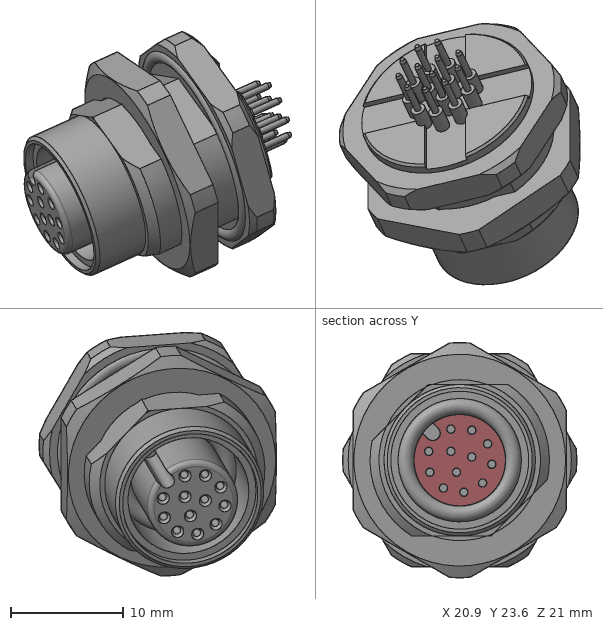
import cadquery as cq
import math


SLEEVE_FRONT = 1.5
BORE_STEP = 2.3
BODY_FRONT = 6.5
NUT_FRONT = 9.49
NUT_BACK = 12.35
FLANGE_FRONT = 15.32
FLANGE_BACK = 18.03
NOTCH_FLOOR = 18.53
BODY_BACK = 19.02
BARREL_BACK = 20.53
PIN_END = 23.6

BODY_DIA = 16.0
BODY_FRONT_CHAMFER = 0.8
BODY_BACK_CHAMFER = 0.21
BODY_FLAT_ANGLES = (90, 135, 270, 315)
NOTCH_WIDTH = 3.82

SLEEVE_DIA = 13.5
SLEEVE_CHAMFER = 0.28
MOUTH_DIA = 12.3
BORE_DIA = 11.0

INSERT_DIA = 8.2
INSERT_FILLET = 0.5
KEYWAY_WIDTH = 1.3
KEYWAY_CENTRE_RADIUS = 3.4
KEYWAY_ANGLE = 135

SEAL_RADIUS = (BORE_DIA - INSERT_DIA) / 4
SEAL_CENTRE_RADIUS = (BORE_DIA + INSERT_DIA) / 4
BORE_FLOOR = BODY_FRONT + 2 * SEAL_RADIUS

HEX_ACROSS_FLATS = 19.02
NUT_CORNER_DIA = 20.98
NUT_FACE_DIA = 18.88
NUT_CHAMFER_LENGTH = 0.52
NUT_BORE_DIA = 14.35
FLANGE_CORNER_DIA = 20.89
FLANGE_CHAMFER = 0.5

ORING_RADIUS = 0.65
ORING_PROTRUSION = 0.3
ORING_CENTRE_RADIUS = BODY_DIA / 2 + ORING_RADIUS
ORING_CENTRE_Y = FLANGE_FRONT - ORING_PROTRUSION + ORING_RADIUS

OUTER_CONTACTS = 9
OUTER_CONTACT_RADIUS = 2.88
OUTER_CONTACT_PITCH = 37.7
INNER_CONTACTS = 3
INNER_CONTACT_RADIUS = 1.1
SOCKET_DIA = 0.7
SOCKET_MOUTH_DIA = 1.1
SOCKET_MOUTH_DEPTH = 0.35
SOCKET_DEPTH = 2.0
BARREL_DIA = 1.3
PIN_DIA = 0.6
PIN_TIP_DIA = 0.38
PIN_TIP_LENGTH = 0.3


def revolved(profile):
    """Revolve a closed (radius, y) outline around the Y axis."""
    return cq.Workplane("XY").polyline(profile).close().revolve(360, (0, 0, 0), (0, 1, 0))


def cylinder(diameter, start, end):
    """Cylinder on the Y axis between two y positions."""
    return revolved([(0, start), (diameter / 2, start), (diameter / 2, end), (0, end)])


def torus(centre_radius, ring_radius, y):
    """Ring of round section around the Y axis."""
    return (
        cq.Workplane("XY")
        .center(centre_radius, y)
        .circle(ring_radius)
        .revolve(360, (-centre_radius, 0, 0), (-centre_radius, 1, 0))
    )


def hexagon(start, end, corner_angle):
    """Hexagonal prism along Y with one corner at the given angle from +X towards +Z."""
    corner_radius = HEX_ACROSS_FLATS / 2 / math.cos(math.radians(30))
    corners = []
    for index in range(6):
        corners.append(polar(corner_radius, corner_angle + 60 * index))
    return cq.Workplane("XZ", origin=(0, start, 0)).polyline(corners).close().extrude(start - end)


def polar(radius, angle):
    """(x, z) of a point at an angle measured from +X towards +Z."""
    return radius * math.cos(math.radians(angle)), radius * math.sin(math.radians(angle))


def turned_about_axis(shape, angle):
    """Turn a shape about the Y axis from +X towards +Z."""
    return shape.rotate((0, 0, 0), (0, 1, 0), -angle)


def make_body():
    radius = BODY_DIA / 2
    body = revolved([
        (0, BODY_FRONT),
        (radius - BODY_FRONT_CHAMFER, BODY_FRONT),
        (radius, BODY_FRONT + BODY_FRONT_CHAMFER),
        (radius, BODY_BACK - BODY_BACK_CHAMFER),
        (radius - BODY_BACK_CHAMFER, BODY_BACK),
        (0, BODY_BACK),
    ])
    for angle in BODY_FLAT_ANGLES:
        flat = cq.Workplane("XY").box(
            BODY_DIA, FLANGE_FRONT - BODY_FRONT, BODY_DIA, centered=(False, False, True)
        ).translate((SLEEVE_DIA / 2, BODY_FRONT, 0))
        body = body.cut(turned_about_axis(flat, angle))
    for angle in (0, 90):
        slot = cq.Workplane("XY").box(
            BODY_DIA, BODY_BACK - NOTCH_FLOOR, NOTCH_WIDTH, centered=(True, False, True)
        ).translate((0, NOTCH_FLOOR, 0))
        body = body.cut(turned_about_axis(slot, angle))
    return body


def make_sleeve():
    radius = SLEEVE_DIA / 2
    return revolved([
        (0, SLEEVE_FRONT),
        (radius - SLEEVE_CHAMFER, SLEEVE_FRONT),
        (radius, SLEEVE_FRONT + SLEEVE_CHAMFER),
        (radius, BODY_FRONT),
        (0, BODY_FRONT),
    ])


def make_insert():
    insert = cylinder(INSERT_DIA, 0, BORE_FLOOR).faces("<Y").edges().fillet(INSERT_FILLET)
    keyway = cylinder(KEYWAY_WIDTH, 0, BORE_FLOOR).union(
        cq.Workplane("XY").box(
            INSERT_DIA, BORE_FLOOR, KEYWAY_WIDTH, centered=(False, False, True)
        )
    ).translate((KEYWAY_CENTRE_RADIUS, 0, 0))
    return insert.cut(turned_about_axis(keyway, KEYWAY_ANGLE))


def make_nut():
    corner_radius = NUT_CORNER_DIA / 2
    envelope = revolved([
        (NUT_BORE_DIA / 2, NUT_FRONT),
        (NUT_FACE_DIA / 2, NUT_FRONT),
        (corner_radius, NUT_FRONT + NUT_CHAMFER_LENGTH),
        (corner_radius, NUT_BACK),
        (NUT_BORE_DIA / 2, NUT_BACK),
    ])
    return hexagon(NUT_FRONT, NUT_BACK, 90).intersect(envelope)


def make_flange():
    envelope = cylinder(FLANGE_CORNER_DIA, FLANGE_FRONT, FLANGE_BACK).edges().chamfer(FLANGE_CHAMFER)
    return hexagon(FLANGE_FRONT, FLANGE_BACK, 0).intersect(envelope)


def contact_places():
    """(x, z) of all contacts, laid out symmetrically about the keyway."""
    opposite_key = KEYWAY_ANGLE + 180
    places = []
    for index in range(OUTER_CONTACTS):
        step = index - (OUTER_CONTACTS - 1) / 2
        places.append(polar(OUTER_CONTACT_RADIUS, opposite_key + step * OUTER_CONTACT_PITCH))
    for index in range(INNER_CONTACTS):
        places.append(polar(INNER_CONTACT_RADIUS, KEYWAY_ANGLE + index * 360 / INNER_CONTACTS))
    return places


def make_socket():
    return revolved([
        (0, 0),
        (SOCKET_MOUTH_DIA / 2, 0),
        (SOCKET_DIA / 2, SOCKET_MOUTH_DEPTH),
        (SOCKET_DIA / 2, SOCKET_DEPTH),
        (0, SOCKET_DEPTH),
    ])


def make_contact():
    return revolved([
        (0, FLANGE_BACK),
        (BARREL_DIA / 2, FLANGE_BACK),
        (BARREL_DIA / 2, BARREL_BACK),
        (PIN_DIA / 2, BARREL_BACK),
        (PIN_DIA / 2, PIN_END - PIN_TIP_LENGTH),
        (PIN_TIP_DIA / 2, PIN_END),
        (0, PIN_END),
    ])


shell = make_body().union(make_sleeve()).union(make_flange()).union(make_nut())
shell = shell.union(torus(ORING_CENTRE_RADIUS, ORING_RADIUS, ORING_CENTRE_Y))
shell = shell.cut(cylinder(MOUTH_DIA, SLEEVE_FRONT, BORE_STEP))
shell = shell.cut(cylinder(BORE_DIA, BORE_STEP, BORE_FLOOR))

result = shell.union(torus(SEAL_CENTRE_RADIUS, SEAL_RADIUS, BORE_FLOOR)).union(make_insert())

for x, z in contact_places():
    result = result.union(make_contact().translate((x, 0, z)))
    result = result.cut(make_socket().translate((x, 0, z)))